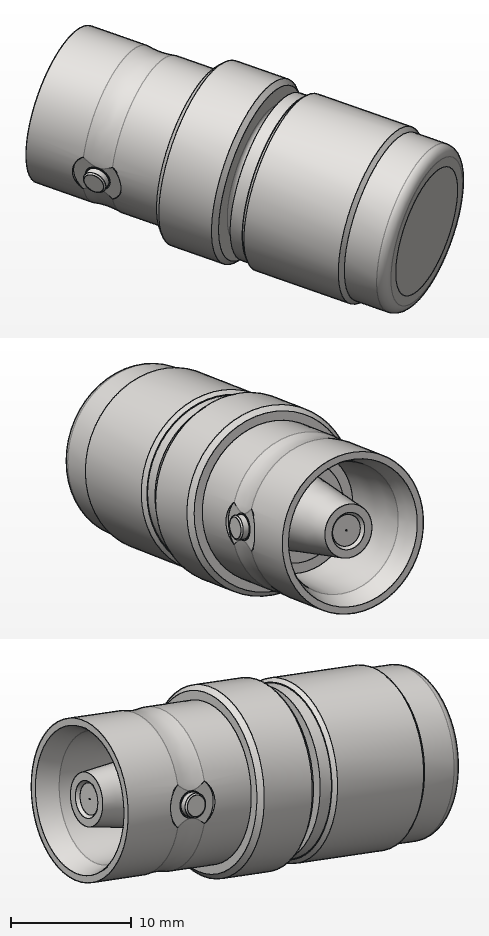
import cadquery as cq

LENGTH = 33.82

BARREL_R = 6.9
GROOVE_START = 5.25
GROOVE_END = 7.95
GROOVE_R = 6.75
COLLAR_START = 12.58
COLLAR_END = 18.35
COLLAR_DIAMETER = 16.27
COLLAR_R = COLLAR_DIAMETER / 2
COLLAR_CHAMFER = 0.45
NECK_R = 5.65
NECK_FILLET = 0.47

MOUTH_R = 6.3
THROAT_R = 5.65
THROAT_X = 1.95
FLOOR_R = 5.25
FLOOR_X = 8.45

STUD_X = (GROOVE_START + GROOVE_END) / 2
STUD_R = 1.05
STUD_TIP_Y = 7.4
STUD_CHAMFER = 0.15
STUD_FOOT_R = 1.15
STUD_FOOT_HEIGHT = 0.05
FLAT_Y = 6.65
FLAT_R = 2.25

NUT_START = 19.28
NUT_LIP_R = 7.37
NUT_LIP_END = 20.43
GRIP_R = 7.78
GRIP_START_R = 7.45
GRIP_START = 20.75
GRIP_END = 29.55
NUT_NOSE_R = 7.4
NUT_NOSE_START = 29.93
NUT_END_FILLET = 0.88

POST_FRONT_X = 0.7
POST_FRONT_R = 2.3
POST_BASE_R = 3.3
FLANGE_R = 4.35
FLANGE_THICKNESS = 1.7
FUNNEL_R = 1.6

CONTACT_R = 1.35
CONTACT_FRONT_X = 1.0
CONTACT_HOLE_R = 0.05
CONTACT_HOLE_DEPTH = 0.35

FLANGE_BACK_X = FLOOR_X + FLANGE_THICKNESS


def revolve_about_x(profile):
    """Turn a closed XY profile about the X axis."""
    return profile.revolve(360, (0, 0, 0), (1, 0, 0))


def x_cylinder(radius, start, end):
    """Round bar on the X axis between two X positions."""
    return cq.Workplane("YZ", origin=(start, 0, 0)).circle(radius).extrude(end - start)


def y_cylinder(radius, start, end, side):
    """Round bar along Y through the stud axis, on the side given by the sign of Y."""
    plane = cq.Plane(origin=(STUD_X, side * start, 0), xDir=(1, 0, 0), normal=(0, side, 0))
    return cq.Workplane(plane).circle(radius).extrude(end - start)


def make_shell():
    outside = revolve_about_x(
        cq.Workplane("XY")
        .moveTo(0, 0)
        .lineTo(0, BARREL_R)
        .lineTo(GROOVE_START, BARREL_R)
        .threePointArc((STUD_X, GROOVE_R), (GROOVE_END, BARREL_R))
        .lineTo(COLLAR_START, BARREL_R)
        .lineTo(COLLAR_START, COLLAR_R - COLLAR_CHAMFER)
        .lineTo(COLLAR_START + COLLAR_CHAMFER, COLLAR_R)
        .lineTo(COLLAR_END - COLLAR_CHAMFER, COLLAR_R)
        .lineTo(COLLAR_END, COLLAR_R - COLLAR_CHAMFER)
        .lineTo(COLLAR_END, NECK_R + NECK_FILLET)
        .radiusArc((COLLAR_END + NECK_FILLET, NECK_R), -NECK_FILLET)
        .lineTo(LENGTH, NECK_R)
        .lineTo(LENGTH, 0)
        .close()
    )
    socket = revolve_about_x(
        cq.Workplane("XY")
        .moveTo(0, 0)
        .lineTo(0, MOUTH_R)
        .lineTo(THROAT_X, THROAT_R)
        .lineTo(FLOOR_X, FLOOR_R)
        .lineTo(FLOOR_X, FLANGE_R)
        .lineTo(FLANGE_BACK_X, FLANGE_R)
        .lineTo(FLANGE_BACK_X, 0)
        .close()
    )
    shell = outside.cut(socket)
    for side in (-1, 1):
        shell = shell.cut(y_cylinder(FLAT_R, FLAT_Y, COLLAR_R, side))
    return shell


def make_stud(side):
    foot = y_cylinder(STUD_FOOT_R, FLAT_Y, FLAT_Y + STUD_FOOT_HEIGHT, side)
    peg = y_cylinder(STUD_R, FLAT_Y, STUD_TIP_Y, side)
    tip = ">Y" if side > 0 else "<Y"
    return foot.union(peg.faces(tip).chamfer(STUD_CHAMFER))


def make_nut():
    return revolve_about_x(
        cq.Workplane("XY")
        .moveTo(NUT_START, NECK_R)
        .lineTo(NUT_START, NUT_LIP_R)
        .lineTo(NUT_LIP_END, NUT_LIP_R)
        .lineTo(NUT_LIP_END, GRIP_START_R)
        .lineTo(GRIP_START, GRIP_R)
        .lineTo(GRIP_END, GRIP_R)
        .lineTo(NUT_NOSE_START, NUT_NOSE_R)
        .lineTo(LENGTH - NUT_END_FILLET, NUT_NOSE_R)
        .radiusArc((LENGTH, NUT_NOSE_R - NUT_END_FILLET), NUT_END_FILLET)
        .lineTo(LENGTH, NECK_R)
        .close()
    )


def make_insulator():
    return revolve_about_x(
        cq.Workplane("XY")
        .moveTo(POST_FRONT_X, FUNNEL_R)
        .lineTo(POST_FRONT_X, POST_FRONT_R)
        .lineTo(FLOOR_X, POST_BASE_R)
        .lineTo(FLOOR_X, FLANGE_R)
        .lineTo(FLANGE_BACK_X, FLANGE_R)
        .lineTo(FLANGE_BACK_X, CONTACT_R)
        .lineTo(CONTACT_FRONT_X, CONTACT_R)
        .close()
    )


def make_contact():
    hole_end = CONTACT_FRONT_X + CONTACT_HOLE_DEPTH
    pin = x_cylinder(CONTACT_R, CONTACT_FRONT_X, FLANGE_BACK_X)
    return pin.cut(x_cylinder(CONTACT_HOLE_R, CONTACT_FRONT_X, hole_end))


shell = make_shell()
studs = [make_stud(side) for side in (-1, 1)]
nut = make_nut()
insulator = make_insulator()
contact = make_contact()

result = cq.Compound.makeCompound(
    [shell.val(), *[stud.val() for stud in studs], nut.val(), insulator.val(), contact.val()]
)